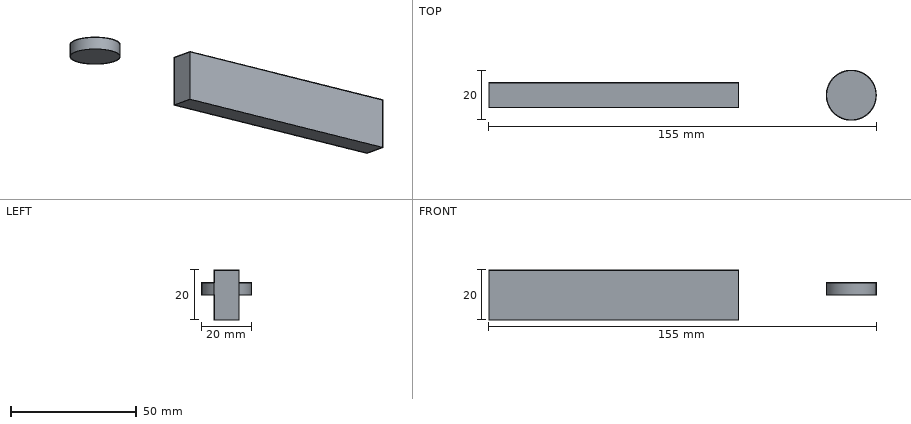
import cadquery as cq

overall_length = 155.0
bar_length = 100.0
bar_height = 20.0
disc_diameter = 20.0

bar_width = bar_height / 2
disc_thickness = bar_height / 4
disc_center_x = overall_length - bar_length / 2 - disc_diameter / 2


def make_bar():
    """Rectangular bar centred on the origin, with its length along X."""
    return cq.Workplane("XY").box(bar_length, bar_width, bar_height)


def make_disc():
    """Flat round disc beyond the +X end of the bar, standing on the bar's mid-height plane."""
    return (
        cq.Workplane("XY")
        .center(disc_center_x, 0)
        .circle(disc_diameter / 2)
        .extrude(disc_thickness)
    )


bar = make_bar()
disc = make_disc()

result = cq.Compound.makeCompound([bar.val(), disc.val()])